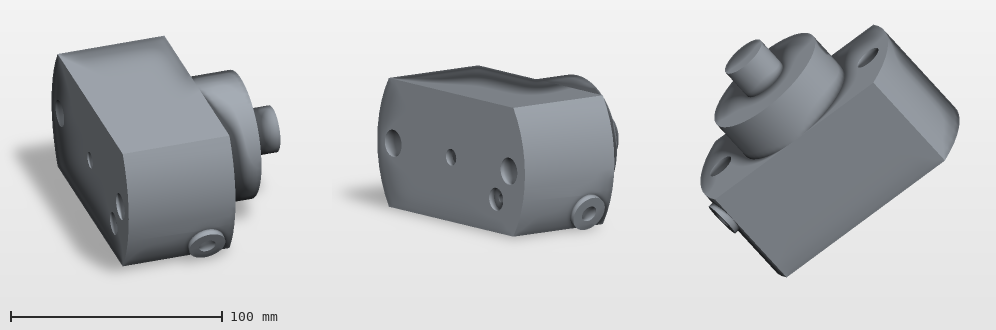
import cadquery as cq
import math

body_diameter = 114.9
body_height = 61.9
body_depth = 53.2

flange_diameter = body_height
flange_length = 21.8
spigot_diameter = 22.5
spigot_length = 16.0

mount_hole_diameter = 13.0
mount_hole_offset = 45.0
centre_hole_diameter = 8.0
centre_hole_depth = 4.0
port_x = 35.0
port_z = -15.0
port_recess_diameter = 11.0
port_recess_depth = 3.0
port_bore_diameter = 4.0

pad_diameter = 17.9
pad_face_radius = 59.9
pad_root_radius = 53.4
pad_y = 39.9
side_bore_diameter = 8.1


def rod(diameter, start_y, length, x=0, z=0):
    """Cylinder along +Y, starting at the given point."""
    start = cq.Vector(x, start_y, z)
    return cq.Workplane(cq.Solid.makeCylinder(diameter / 2, length, start, cq.Vector(0, 1, 0)))


def radial_rod(diameter, inner_radius, outer_radius):
    """Cylinder along the port's radial line, between two distances from the body axis."""
    port_radius = math.hypot(port_x, port_z)
    outward = cq.Vector(port_x / port_radius, 0, port_z / port_radius)
    start = outward * inner_radius + cq.Vector(0, pad_y, 0)
    return cq.Workplane(cq.Solid.makeCylinder(diameter / 2, outer_radius - inner_radius, start, outward))


flats = cq.Workplane("XY").box(body_diameter, body_depth, body_height, centered=(True, False, True))
body = rod(body_diameter, 0, body_depth).intersect(flats)

flange = rod(flange_diameter, body_depth, flange_length)
spigot = rod(spigot_diameter, body_depth + flange_length, spigot_length)
pad = radial_rod(pad_diameter, pad_root_radius, pad_face_radius)
result = body.union(flange).union(spigot).union(pad)

for side in (-1, 1):
    result = result.cut(rod(mount_hole_diameter, 0, body_depth, side * mount_hole_offset))
result = result.cut(rod(centre_hole_diameter, 0, centre_hole_depth))

result = result.cut(rod(port_recess_diameter, 0, port_recess_depth, port_x, port_z))
result = result.cut(rod(port_bore_diameter, 0, pad_y, port_x, port_z))
side_bore_end = math.hypot(port_x, port_z) - side_bore_diameter / 2
result = result.cut(radial_rod(side_bore_diameter, side_bore_end, pad_face_radius))